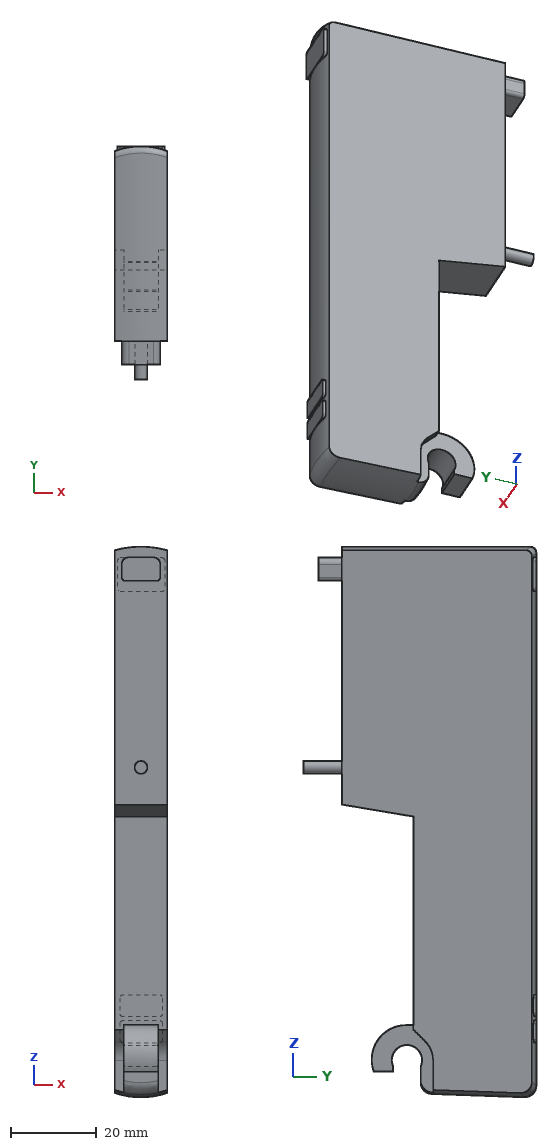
import cadquery as cq
import math

WIDTH = 12.3
HEIGHT = 128.52
PIN_LENGTH = 9.0
BACK_Y = 54.4 - PIN_LENGTH
LOWER_FRONT_Y = 16.65
STEP_FRONT_Z = 68.3
STEP_INNER_Z = 65.5

BACK_CROWN = 1.1
TOP_CROWN = 0.85
BOTTOM_CROWN = 1.0
BOTTOM_SLOPE = 2.0
TOP_BACK_RADIUS = 1.5
BOTTOM_RADIUS = 2.75

HOOK_WIDTH = 8.0
HOOK_CENTER_Y = 15.15
HOOK_CENTER_Z = 8.7
HOOK_OUTER_RADIUS = 8.1
HOOK_FRONT_Y = 6.9
HOOK_TOP_Z = 16.9
HOOK_INNER_RADIUS = 3.5
HOOK_TIP_Z = 6.0
HOOK_MOUTH_HALF_GAP = 3.2
HOOK_WALL_Y = HOOK_CENTER_Y + HOOK_MOUTH_HALF_GAP
HOOK_TIP_INNER_Y = HOOK_CENTER_Y - HOOK_MOUTH_HALF_GAP
RECESS_RADIUS = 6.1
RECESS_SLOPE = 45.0

PEG_WIDTH = 9.0
PEG_HEIGHT = 5.5
PEG_LENGTH = 5.5
PEG_BOTTOM_Z = 120.5
PEG_TOP_RADIUS = 1.6
PEG_BOTTOM_RADIUS = 0.9
PIN_DIAMETER = 3.0
PIN_Z = 77.0

PADS = [
    (11.1, 118.1, 126.0),
    (10.0, 18.9, 24.0),
    (10.0, 12.8, 18.0),
]
PAD_CORNER_RADIUS = 0.8
PAD_ROOT_DEPTH = 2.0

MARGIN = 10.0
EDGE_SEARCH = 2.5
EDGE_TOLERANCE = 0.1


def crowned_section(plane, crown, apex, far):
    """Section across X, bounded by an arc with its peak at apex and a flat side at far."""
    half = WIDTH / 2
    shoulder = apex - math.copysign(crown, apex - far)
    return (
        cq.Workplane(plane)
        .moveTo(-half, far)
        .lineTo(-half, shoulder)
        .threePointArc((0, apex), (half, shoulder))
        .lineTo(half, far)
        .close()
    )


def make_housing():
    """Stepped side outline, trimmed by the crowned top, back and bottom."""
    outline = (
        cq.Workplane("YZ")
        .moveTo(0, HEIGHT)
        .lineTo(0, STEP_FRONT_Z)
        .lineTo(LOWER_FRONT_Y, STEP_INNER_Z)
        .lineTo(LOWER_FRONT_Y, HOOK_CENTER_Z)
        .lineTo(HOOK_WALL_Y, HOOK_CENTER_Z)
        .lineTo(HOOK_WALL_Y, -MARGIN)
        .lineTo(BACK_Y, -MARGIN)
        .lineTo(BACK_Y, HEIGHT)
        .close()
        .extrude(WIDTH / 2, both=True)
    )
    reach = BACK_Y + MARGIN
    top = crowned_section("XZ", TOP_CROWN, HEIGHT, -MARGIN).extrude(reach, both=True)
    back = (
        crowned_section("XY", BACK_CROWN, BACK_Y, -MARGIN)
        .extrude(HEIGHT + 2 * MARGIN)
        .translate((0, 0, -MARGIN))
    )
    pivot_y = BACK_Y - BOTTOM_RADIUS
    bottom = (
        crowned_section("XZ", BOTTOM_CROWN, 0, HEIGHT + MARGIN)
        .extrude(reach, both=True)
        .rotate((0, 0, 0), (1, 0, 0), -BOTTOM_SLOPE)
        .translate((0, pivot_y, 0))
    )
    housing = outline.intersect(top).intersect(back).intersect(bottom)
    housing = round_end_edge(housing, BACK_Y, HEIGHT, TOP_BACK_RADIUS)
    housing = round_end_edge(housing, BACK_Y, 0, BOTTOM_RADIUS)
    return round_end_edge(housing, HOOK_WALL_Y, 0, BOTTOM_RADIUS)


def round_end_edge(body, y, z, radius):
    """Round the edge that crosses the full width near the given Y and Z."""
    corner = cq.selectors.BoxSelector(
        (-WIDTH, y - EDGE_SEARCH, z - EDGE_SEARCH),
        (WIDTH, y + EDGE_SEARCH, z + EDGE_SEARCH),
    )
    full_width = WIDTH - EDGE_TOLERANCE
    crossing = [e for e in body.edges(corner).vals() if e.BoundingBox().xlen > full_width]
    return body.newObject(crossing).fillet(radius)


def make_recess():
    """Relief that leaves only the hook width standing at the lower front corner."""
    slope = math.radians(RECESS_SLOPE)
    tangent_y = HOOK_CENTER_Y + RECESS_RADIUS * math.cos(slope)
    tangent_z = HOOK_CENTER_Z + RECESS_RADIUS * math.sin(slope)
    top_z = tangent_z + (tangent_y - LOWER_FRONT_Y) / math.tan(slope)
    recess_back_y = HOOK_CENTER_Y + RECESS_RADIUS
    mid_angle = math.radians(RECESS_SLOPE / 2)
    arc_mid = (
        HOOK_CENTER_Y + RECESS_RADIUS * math.cos(mid_angle),
        HOOK_CENTER_Z + RECESS_RADIUS * math.sin(mid_angle),
    )
    block = (
        cq.Workplane("YZ")
        .moveTo(recess_back_y, -MARGIN)
        .lineTo(recess_back_y, HOOK_CENTER_Z)
        .threePointArc(arc_mid, (tangent_y, tangent_z))
        .lineTo(LOWER_FRONT_Y, top_z)
        .lineTo(0, top_z)
        .lineTo(0, -MARGIN)
        .close()
        .extrude(WIDTH, both=True)
    )
    kept_core = cq.Workplane("XY").box(HOOK_WIDTH, 2 * HEIGHT, 2 * HEIGHT)
    return block.cut(kept_core)


def make_hook():
    """C-shaped hook opening downwards, joined to the lower front of the housing."""
    arc_center_y = HOOK_FRONT_Y + HOOK_OUTER_RADIUS
    arc_center_z = HOOK_TOP_Z - HOOK_OUTER_RADIUS
    tip_drop = arc_center_z - HOOK_TIP_Z
    tip_outer_y = arc_center_y - math.sqrt(HOOK_OUTER_RADIUS**2 - tip_drop**2)
    root_y = HOOK_CENTER_Y + RECESS_RADIUS
    return (
        cq.Workplane("YZ")
        .moveTo(LOWER_FRONT_Y, HOOK_TOP_Z)
        .lineTo(arc_center_y, HOOK_TOP_Z)
        .threePointArc((HOOK_FRONT_Y, arc_center_z), (tip_outer_y, HOOK_TIP_Z))
        .lineTo(HOOK_TIP_INNER_Y, HOOK_TIP_Z)
        .lineTo(HOOK_TIP_INNER_Y, HOOK_CENTER_Z)
        .lineTo(root_y, HOOK_CENTER_Z)
        .lineTo(LOWER_FRONT_Y, HOOK_CENTER_Z + RECESS_RADIUS)
        .close()
        .extrude(HOOK_WIDTH / 2, both=True)
    )


def make_hook_hole():
    """Round seat inside the hook."""
    return (
        cq.Workplane("YZ")
        .center(HOOK_CENTER_Y, HOOK_CENTER_Z)
        .circle(HOOK_INNER_RADIUS)
        .extrude(WIDTH, both=True)
    )


def make_pad(width, bottom_z, top_z):
    """Flat pad with rounded corners, flush with the peak of the crowned back."""
    return (
        cq.Workplane("XY")
        .box(width, PAD_ROOT_DEPTH, top_z - bottom_z)
        .edges("|Y")
        .fillet(PAD_CORNER_RADIUS)
        .translate((0, BACK_Y - PAD_ROOT_DEPTH / 2, (bottom_z + top_z) / 2))
    )


def make_peg():
    """Keyed peg: the top corners are rounder than the bottom ones."""
    peg = cq.Workplane("XY").box(PEG_WIDTH, PEG_LENGTH, PEG_HEIGHT)
    peg = peg.edges("|Y and >Z").fillet(PEG_TOP_RADIUS)
    peg = peg.edges("|Y and <Z").fillet(PEG_BOTTOM_RADIUS)
    return peg.translate((0, -PEG_LENGTH / 2, PEG_BOTTOM_Z + PEG_HEIGHT / 2))


def make_pin():
    """Plain round pin, the foremost point of the part."""
    return cq.Workplane("XZ").center(0, PIN_Z).circle(PIN_DIAMETER / 2).extrude(PIN_LENGTH)


housing = make_housing().cut(make_recess())
result = housing.union(make_hook()).cut(make_hook_hole())
result = result.union(make_peg()).union(make_pin())
for pad_size in PADS:
    result = result.union(make_pad(*pad_size))